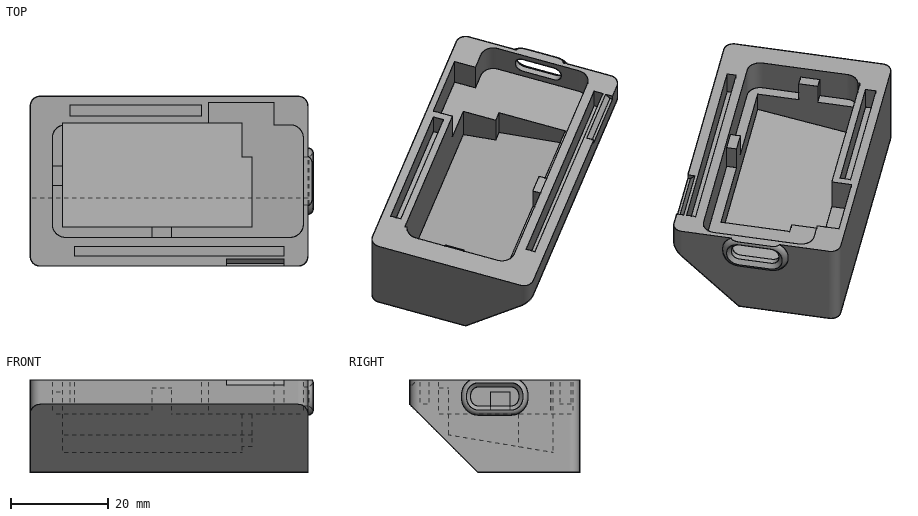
import cadquery as cq
import math

BODY_LENGTH = 57.1
BODY_WIDTH = 34.95
BODY_HEIGHT = 19.0
CORNER_RADIUS = 2.05
FRONT_LIP_HEIGHT = 5.0
UNDERCUT_SIZE = BODY_HEIGHT - FRONT_LIP_HEIGHT

CAVITY_LEFT = 4.55
CAVITY_RIGHT = 56.15
CAVITY_FRONT = 5.92
CAVITY_BACK = 29.05
CAVITY_DEPTH = 7.0
CAVITY_RADIUS = 2.7
SHELF_Z = BODY_HEIGHT - CAVITY_DEPTH

RECESS_LEFT = 36.65
RECESS_RIGHT = 50.1
RECESS_BACK = 33.6

POCKET_LEFT = 6.6
POCKET_RIGHT = 45.6
POCKET_FRONT = 8.0
POCKET_BACK = 29.45
POCKET_STEP_X = 43.55
POCKET_STEP_Y = 22.4
POCKET_BACK_Z = 4.1
POCKET_FLOOR_ANGLE = 9.5

TAB_WIDTH = 4.0
FRONT_TAB_TOP_Z = 17.3
LEFT_TAB_TOP_Z = 16.5
FRONT_TAB_X = 27.0
LEFT_TAB_Y = 18.6

SLOT_DEPTH = 5.0
BACK_SLOT_LEFT = 8.2
BACK_SLOT_RIGHT = 35.2
BACK_SLOT_FRONT = 30.9
BACK_SLOT_BACK = 33.1
FRONT_SLOT_LEFT = 9.15
FRONT_SLOT_RIGHT = 52.2
FRONT_SLOT_FRONT = 2.1
FRONT_SLOT_BACK = 4.0

NOTCH_LENGTH = 11.9
NOTCH_DEPTH = 1.0
NOTCH_LEDGE = 0.55
NOTCH_WIDTH = 1.5

COLLAR_PROJECTION = 1.1
COLLAR_EDGE_RADIUS = 1.2
COLLAR_CORNER_RADIUS = 3.6
PORT_CORNER_RADIUS = 1.7
PORT_FLAT_LENGTH = 6.5
PORT_FLAT_HEIGHT = 0.55
PORT_Z = 15.6
PORT_FLARE_DEPTH = 0.85
PORT_FLARE_ANGLE = 45.0
PORT_Y = BODY_WIDTH / 2
COLLAR_FACE_X = BODY_LENGTH + COLLAR_PROJECTION


def block(left, right, front, back, bottom, top):
    """Axis-aligned block between the given limits."""
    size = (right - left, back - front, top - bottom)
    return cq.Workplane("XY").box(*size, centered=False).translate((left, front, bottom))


def side_profile(points, left, right):
    """Solid with a (y, z) outline, running along X from left to right."""
    return cq.Workplane("YZ", origin=(left, 0, 0)).polyline(points).close().extrude(right - left)


def port_block(corner_radius, left, right, flare_angle=0):
    """Rounded rectangle centred on the port, running along X and widening at the flare angle."""
    length = PORT_FLAT_LENGTH + 2 * corner_radius
    height = PORT_FLAT_HEIGHT + 2 * corner_radius
    outline = cq.Sketch().rect(length, height).vertices().fillet(corner_radius)
    plane = cq.Workplane("YZ", origin=(left, PORT_Y, PORT_Z))
    return plane.placeSketch(outline).extrude(right - left, taper=-flare_angle)


def make_body():
    body = block(0, BODY_LENGTH, 0, BODY_WIDTH, 0, BODY_HEIGHT).edges("|Z").fillet(CORNER_RADIUS)
    undercut = side_profile([(0, 0), (UNDERCUT_SIZE, 0), (0, UNDERCUT_SIZE)], 0, BODY_LENGTH)
    return body.cut(undercut)


def make_collar():
    collar = port_block(COLLAR_CORNER_RADIUS, CAVITY_RIGHT, COLLAR_FACE_X)
    collar = collar.faces(">X").edges().fillet(COLLAR_EDGE_RADIUS)
    below_rim = block(CAVITY_RIGHT, COLLAR_FACE_X, 0, BODY_WIDTH, 0, BODY_HEIGHT)
    return collar.intersect(below_rim)


def make_cavity():
    cavity = block(CAVITY_LEFT, CAVITY_RIGHT, CAVITY_FRONT, CAVITY_BACK, SHELF_Z, BODY_HEIGHT)
    cavity = cavity.edges("|Z").fillet(CAVITY_RADIUS)
    recess = block(RECESS_LEFT, RECESS_RIGHT, POCKET_STEP_Y, RECESS_BACK, SHELF_Z, BODY_HEIGHT)
    return cavity.union(recess)


def make_tabs():
    half_width = TAB_WIDTH / 2
    tab_left = FRONT_TAB_X - half_width
    tab_right = FRONT_TAB_X + half_width
    front_tab = block(tab_left, tab_right, CAVITY_FRONT, POCKET_FRONT, SHELF_Z, FRONT_TAB_TOP_Z)
    tab_front = LEFT_TAB_Y - half_width
    tab_back = LEFT_TAB_Y + half_width
    left_tab = block(CAVITY_LEFT, POCKET_LEFT, tab_front, tab_back, SHELF_Z, LEFT_TAB_TOP_Z)
    return front_tab.union(left_tab)


def make_pocket():
    floor_rise = (POCKET_BACK - POCKET_FRONT) * math.tan(math.radians(POCKET_FLOOR_ANGLE))
    profile = [
        (POCKET_FRONT, POCKET_BACK_Z + floor_rise),
        (POCKET_BACK, POCKET_BACK_Z),
        (POCKET_BACK, BODY_HEIGHT),
        (POCKET_FRONT, BODY_HEIGHT),
    ]
    pocket = side_profile(profile, POCKET_LEFT, POCKET_RIGHT)
    step = block(POCKET_STEP_X, POCKET_RIGHT, POCKET_STEP_Y, POCKET_BACK, 0, BODY_HEIGHT)
    return pocket.cut(step)


def make_slots():
    bottom = BODY_HEIGHT - SLOT_DEPTH
    back_slot = block(
        BACK_SLOT_LEFT, BACK_SLOT_RIGHT, BACK_SLOT_FRONT, BACK_SLOT_BACK, bottom, BODY_HEIGHT
    )
    front_slot = block(
        FRONT_SLOT_LEFT, FRONT_SLOT_RIGHT, FRONT_SLOT_FRONT, FRONT_SLOT_BACK, bottom, BODY_HEIGHT
    )
    return back_slot.union(front_slot)


def make_notch():
    ledge_z = BODY_HEIGHT - NOTCH_DEPTH
    profile = [(0, ledge_z), (NOTCH_LEDGE, ledge_z), (NOTCH_WIDTH, BODY_HEIGHT), (0, BODY_HEIGHT)]
    return side_profile(profile, FRONT_SLOT_RIGHT - NOTCH_LENGTH, FRONT_SLOT_RIGHT)


def make_port_opening():
    opening = port_block(PORT_CORNER_RADIUS, CAVITY_RIGHT, COLLAR_FACE_X)
    flare = port_block(PORT_CORNER_RADIUS, COLLAR_FACE_X - PORT_FLARE_DEPTH, COLLAR_FACE_X, PORT_FLARE_ANGLE)
    return opening.union(flare)


result = (
    make_body()
    .union(make_collar())
    .cut(make_cavity())
    .union(make_tabs())
    .cut(make_pocket())
    .cut(make_slots())
    .cut(make_notch())
    .cut(make_port_opening())
)